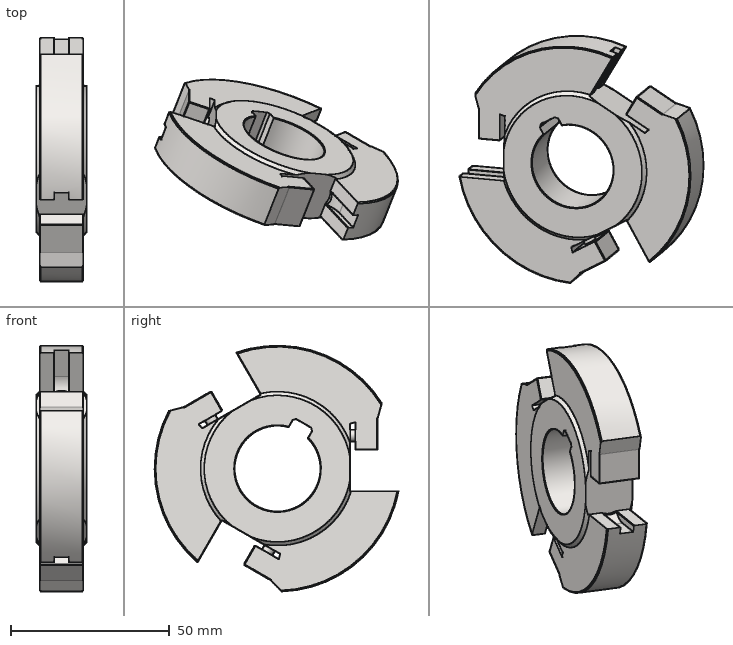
import cadquery as cq
import math

outer_radius = 38.7
flange_width = 13.7
hub_width = 16.0
hub_radius = 24.25
tooth_count = 3
rim_chamfer = 0.4
cut_margin = 7.75

bore_radius = 13.5
bore_chamfer = 0.2
key_width = 7.0
key_top = 16.4
key_corner_chamfer = 0.8
key_angle = 30.0

gash_floor = 22.85
wall_height = -7.05
finger_tip_height = 5.9
slot_top_height = 14.6
slot_top_drop = 0.5
finger_inner = 24.5
finger_outer = 31.5
finger_root_height = 15.8
relief_top_height = 20.5
finger_chamfer = 0.2

pin_diameter = 3.8
pin_height = 10.4
pin_embed = 0.8

groove_width = 4.5
groove_depth = 2.25
groove_mouth_chamfer = 0.15
groove_straight_start = 28.3
groove_end_radius = 6.2
spot_face_sagitta = 0.55

hub_overhang = (hub_width - flange_width) / 2
cut_reach = outer_radius + cut_margin
relief_top = math.sqrt(outer_radius**2 - relief_top_height**2)
groove_floor_height = wall_height - groove_depth
groove_end_angle = math.acos(1 - groove_depth / groove_end_radius)
groove_end = groove_straight_start - groove_end_radius * math.sin(groove_end_angle)
half_groove = groove_width / 2
spot_face_radius = (half_groove**2 + spot_face_sagitta**2) / (2 * spot_face_sagitta)
spot_face_height = wall_height - spot_face_sagitta + spot_face_radius


def around_axis(shape):
    """One copy of the shape per tooth, turned about the X axis."""
    copies = cq.Workplane("YZ")
    for index in range(tooth_count):
        turned = shape.rotate((0, 0, 0), (1, 0, 0), index * 360 / tooth_count)
        copies = copies.add(turned.vals())
    return copies


def cut_around_axis(body, cutter):
    for copy in around_axis(cutter).vals():
        body = body.cut(cq.Workplane(copy))
    return body


def blank():
    """Flange disc with a wider hub, both chamfered."""
    flange = cq.Workplane("YZ").circle(outer_radius).extrude(flange_width / 2, both=True)
    flange = flange.faces("<X or >X").chamfer(rim_chamfer)
    hub = cq.Workplane("YZ").circle(hub_radius).extrude(hub_width / 2, both=True)
    hub = hub.faces("<X or >X").chamfer(hub_overhang)
    return flange.union(hub)


def gash():
    """Opening between two teeth, wrapped around the finger that reaches into it."""
    steep = (finger_root_height - relief_top_height) / (finger_outer - relief_top)
    outside_height = relief_top_height + steep * (cut_reach - relief_top)
    return (
        cq.Workplane("YZ")
        .moveTo(gash_floor, wall_height)
        .lineTo(gash_floor, slot_top_height - slot_top_drop)
        .lineTo(finger_inner, slot_top_height)
        .lineTo(finger_inner, finger_tip_height + finger_chamfer)
        .lineTo(finger_inner + finger_chamfer, finger_tip_height)
        .lineTo(finger_outer - finger_chamfer, finger_tip_height)
        .lineTo(finger_outer, finger_tip_height + finger_chamfer)
        .lineTo(finger_outer, finger_root_height)
        .lineTo(cut_reach, outside_height)
        .lineTo(cut_reach, wall_height)
        .close()
        .extrude(hub_width, both=True)
    )


def finger_edge_chamfer(side):
    """Wedges that bevel the outer and tip edges of a finger on one flange face."""
    face = side * flange_width / 2
    inset = face - side * finger_chamfer
    outer_wedge = (
        cq.Workplane("XY", origin=(0, 0, finger_tip_height))
        .polyline([(face, finger_outer), (face, finger_outer - finger_chamfer), (inset, finger_outer)])
        .close()
        .extrude(finger_root_height - finger_tip_height)
    )
    tip_top = finger_tip_height + finger_chamfer
    tip_wedge = (
        cq.Workplane("XZ", origin=(0, finger_outer, 0))
        .polyline([(face, finger_tip_height), (face, tip_top), (inset, finger_tip_height)])
        .close()
        .extrude(finger_outer - finger_inner)
    )
    return outer_wedge.union(tip_wedge)


def wall_groove():
    """Groove along the tooth wall whose floor curves out to the wall face."""
    half_angle = groove_end_angle / 2
    middle = groove_straight_start - groove_end_radius * math.sin(half_angle)
    middle_height = groove_floor_height + groove_end_radius * (1 - math.cos(half_angle))
    return (
        cq.Workplane("YZ")
        .moveTo(groove_end, wall_height)
        .threePointArc((middle, middle_height), (groove_straight_start, groove_floor_height))
        .lineTo(cut_reach, groove_floor_height)
        .lineTo(cut_reach, wall_height)
        .close()
        .extrude(half_groove, both=True)
    )


def groove_mouth():
    """Bevel along both edges where the groove opens into the tooth wall."""
    return (
        cq.Workplane("XZ", origin=(0, gash_floor, 0))
        .moveTo(-half_groove - groove_mouth_chamfer, wall_height)
        .lineTo(-half_groove, wall_height - groove_mouth_chamfer)
        .lineTo(half_groove, wall_height - groove_mouth_chamfer)
        .lineTo(half_groove + groove_mouth_chamfer, wall_height)
        .close()
        .extrude(gash_floor - cut_reach)
    )


def spot_face():
    """Radial round cut, level with the gash floor, that bites into the groove end."""
    return (
        cq.Workplane("XZ", origin=(0, gash_floor, 0))
        .center(0, spot_face_height)
        .circle(spot_face_radius)
        .extrude(gash_floor - cut_reach)
    )


def slot_pin():
    """Radial pin bridging the slot, sunk into the metal on both sides."""
    return (
        cq.Workplane("XZ", origin=(0, gash_floor - pin_embed, 0))
        .center(0, pin_height)
        .circle(pin_diameter / 2)
        .extrude(gash_floor - finger_inner - 2 * pin_embed)
    )


def bore():
    cutter = cq.Workplane("YZ").circle(bore_radius).extrude(hub_width / 2, both=True)
    for side in (-1, 1):
        mouth = cq.Solid.makeCone(
            bore_radius + bore_chamfer,
            bore_radius,
            bore_chamfer,
            pnt=cq.Vector(side * hub_width / 2, 0, 0),
            dir=cq.Vector(-side, 0, 0),
        )
        cutter = cutter.union(cq.Workplane(mouth))
    return cutter


def keyway():
    return (
        cq.Workplane("YZ")
        .center(0, key_top / 2)
        .rect(key_width, key_top)
        .extrude(hub_width / 2, both=True)
        .edges("|X and >Z")
        .chamfer(key_corner_chamfer)
        .rotate((0, 0, 0), (1, 0, 0), -key_angle)
    )


result = blank()
cutters = [gash(), wall_groove(), groove_mouth(), spot_face()]
cutters += [finger_edge_chamfer(side) for side in (-1, 1)]
for cutter in cutters:
    result = cut_around_axis(result, cutter)
for pin in around_axis(slot_pin()).vals():
    result = result.union(cq.Workplane(pin))
result = result.cut(bore()).cut(keyway())